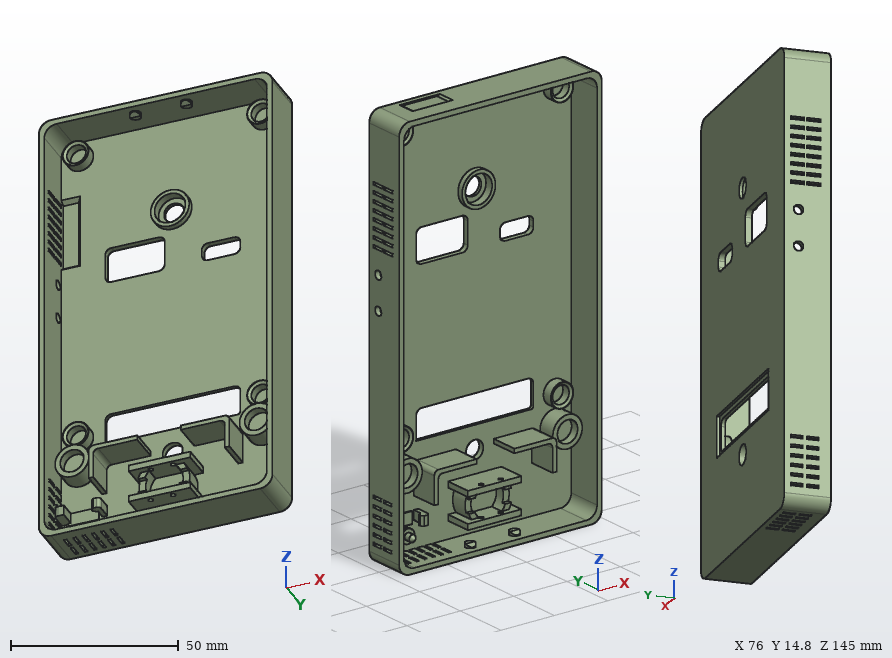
import cadquery as cq

WIDTH = 76.0
DEPTH = 14.8
HEIGHT = 145.0
CORNER_RADIUS = 4.0
WALL = 1.8
PLATE = 2.1
OVERLAP = 0.2

FRONT_Y = -DEPTH / 2
BACK_Y = DEPTH / 2
PLATE_Y = BACK_Y - PLATE
INNER_X = WIDTH / 2 - WALL
INNER_Z = HEIGHT / 2 - WALL

SCREW_X = 30.0
SCREW_ZS = (65.0, -33.0)
SCREW_OD = 8.5
SCREW_MOUTH = 8.2
SCREW_HOLE = 6.2
SCREW_HEIGHT = 3.6
SCREW_MOUTH_DEPTH = 0.6

POST_X = 30.0
POST_Z = -43.8
POST_OD = 11.0
POST_HOLE = 7.6
POST_HEIGHT = 6.3
POST_HOLE_DEPTH = 3.0

MOUNT_HOLE = 6.45
MOUNT_TOP_Z = 39.5
MOUNT_LOW_Z = -44.5
COLLAR_OD = 12.5
COLLAR_BORE = 10.0
COLLAR_HEIGHT = 2.0
COLLAR_BORE_DEPTH = 3.0

WINDOW_LEFT = -21.9
WINDOW_RIGHT = 22.0
WINDOW_RADIUS = 2.0
UPPER_WINDOW_BOTTOM = 19.7
LARGE_WINDOW_RIGHT = -2.6
LARGE_WINDOW_TOP = 31.5
SMALL_WINDOW_LEFT = 9.5
SMALL_WINDOW_TOP = 25.6
LONG_WINDOW_BOTTOM = -36.5
LONG_WINDOW_TOP = -26.4
LONG_WINDOW_LOW_RADIUS = 1.0
LONG_WINDOW_LIP = 1.2
LONG_WINDOW_RELIEF = 1.5

RIB_INNER_X = 7.1
RIB_OUTER_X = 22.9
RIB_TOP_Z = -42.6
RIB_BOTTOM_Z = -53.7
RIB_THICKNESS = 1.5
RIB_HEIGHT = 10.2
RIB_RADIUS = 1.6

HOLDER_Z = -58.5
BAR_LENGTH = 20.0
BAR_THICKNESS = 2.0
BAR_GAP = 8.6
BAR_HEIGHT = 9.8
PIN_HOLE = 1.5
PIN_HOLE_X = 3.65
PIN_HOLE_Y = -2.65
RING_OD = 16.5
RING_ID = 12.2
RING_HEIGHT = 7.6
RING_FLOOR_HEIGHT = 2.7
RING_NOTCH_WIDTH = 4.6
RING_NOTCH_DEPTH = 1.5

CLIP_TOP_Z = -58.3
CLIP_WIDTH = 3.3
CLIP_HEIGHT = 5.8
CLIP_TIP_Y = PLATE_Y - CLIP_HEIGHT
CLIP_POST_LEFT = -36.0
CLIP_POST_RIGHT = -32.9
CLIP_RADIUS = 1.1
HOOK_RIGHT = -21.2
HOOK_STEM = 1.6
HOOK_REACH = 3.0
HOOK_LEAD = 0.9
HOOK_DEPTH = 2.6
HOOK_UNDERCUT = 1.0
PAD_LEFT = -33.8
PAD_RIGHT = -23.8
PAD_BOTTOM_Z = -62.5
PAD_HEIGHT = 0.5

LOCATOR_X = -25.8
LOCATOR_Z = -65.8
FOOT_DIAMETER = 5.0
FOOT_HEIGHT = 1.0
LOCATOR_DIAMETER = 2.5
LOCATOR_HEIGHT = 4.5
LOCATOR_TIP = 1.25

BUMP_DIAMETER = 3.4
BUMP_X = 8.3
BUMP_Y = -3.4
BUMP_HEIGHT = 1.2
BUMP_FRONT_HEIGHT = 0.3

SLOT_THICKNESS = 0.9
SLOT_TOP_Y = 5.3
SLOT_PITCH_Y = 5.1
UPPER_SLOT_LENGTH = 4.25
UPPER_SLOT_TOP_Z = 49.8
UPPER_SLOT_PITCH = 2.88
UPPER_SLOT_ROWS = 8
LOWER_SLOT_LENGTH = 3.7
LOWER_SLOT_PITCH = 3.02
LOWER_SLOT_ROWS = 6
LOWER_SLOT_TOP_Z = -50.5
END_SLOT_FIRST_X = -16.0

SIDE_HOLE = 3.0
SIDE_HOLE_Y = 2.9
SIDE_HOLE_ZS = (21.1, 9.6)

RECESS_RIGHT = -30.0
RECESS_TOP_Z = 52.0
RECESS_BOTTOM_Z = 27.7
RECESS_TAPER = 1.2
RECESS_DEPTH = 1.5

SOCKET_LEFT = -28.2
SOCKET_RIGHT = -13.1
SOCKET_BACK_Y = 5.3
SOCKET_FRONT_Y = -1.1
SOCKET_TAPER = 1.0
SOCKET_DEPTH = 0.5


def box(x0, x1, y0, y1, z0, z1):
    """Box between two opposite corners."""
    return cq.Workplane("XY").box(x1 - x0, y1 - y0, z1 - z0, centered=False).translate((x0, y0, z0))


def rod(x, z, diameter, y_front, y_back):
    """Cylinder along Y."""
    plane = cq.Workplane("XZ", origin=(x, y_back, z))
    return plane.circle(diameter / 2).extrude(y_back - y_front)


def on_plate(x, z, diameter, height):
    """Cylinder that rises from the plate toward -Y."""
    return rod(x, z, diameter, PLATE_Y - height, PLATE_Y + OVERLAP)


def shell():
    outer = box(-WIDTH / 2, WIDTH / 2, FRONT_Y, BACK_Y, -HEIGHT / 2, HEIGHT / 2)
    cavity = box(-INNER_X, INNER_X, FRONT_Y, PLATE_Y, -INNER_Z, INNER_Z)
    return outer.edges("|Y").fillet(CORNER_RADIUS).cut(cavity.edges("|Y").fillet(CORNER_RADIUS))


def window(x0, x1, z0, z1):
    """Square-cornered opening through the back plate."""
    return box(x0, x1, PLATE_Y, BACK_Y, z0, z1)


def plate_windows():
    """Three openings; the long one is relieved from behind so that only a thin lip remains."""
    large = window(WINDOW_LEFT, LARGE_WINDOW_RIGHT, UPPER_WINDOW_BOTTOM, LARGE_WINDOW_TOP)
    small = window(SMALL_WINDOW_LEFT, WINDOW_RIGHT, UPPER_WINDOW_BOTTOM, SMALL_WINDOW_TOP)
    long = window(WINDOW_LEFT, WINDOW_RIGHT, LONG_WINDOW_BOTTOM, LONG_WINDOW_TOP)
    long = long.edges("|Y and >Z").fillet(WINDOW_RADIUS)
    long = long.edges("|Y and <Z and >X").fillet(LONG_WINDOW_LOW_RADIUS)
    relief = box(
        WINDOW_LEFT - LONG_WINDOW_RELIEF,
        WINDOW_RIGHT + LONG_WINDOW_RELIEF,
        PLATE_Y + LONG_WINDOW_LIP,
        BACK_Y,
        LONG_WINDOW_BOTTOM - LONG_WINDOW_RELIEF,
        LONG_WINDOW_TOP + LONG_WINDOW_RELIEF,
    )
    rounded = large.edges("|Y").fillet(WINDOW_RADIUS).union(small.edges("|Y").fillet(WINDOW_RADIUS))
    return rounded.union(long).union(relief)


def screw_boss(x, z):
    mouth_y = PLATE_Y - SCREW_HEIGHT
    hole = rod(x, z, SCREW_HOLE, mouth_y, PLATE_Y)
    mouth = (
        cq.Workplane("XZ", origin=(x, mouth_y, z))
        .circle(SCREW_MOUTH / 2)
        .workplane(offset=-SCREW_MOUTH_DEPTH)
        .circle(SCREW_HOLE / 2)
        .loft()
    )
    return on_plate(x, z, SCREW_OD, SCREW_HEIGHT).cut(hole).cut(mouth)


def post(x):
    front_y = PLATE_Y - POST_HEIGHT
    hole = rod(x, POST_Z, POST_HOLE, front_y, front_y + POST_HOLE_DEPTH)
    return on_plate(x, POST_Z, POST_OD, POST_HEIGHT).cut(hole)


def collar():
    return on_plate(0, MOUNT_TOP_Z, COLLAR_OD, COLLAR_HEIGHT)


def collar_bore():
    """Counterbore that runs through the collar into the plate."""
    front_y = PLATE_Y - COLLAR_HEIGHT
    return rod(0, MOUNT_TOP_Z, COLLAR_BORE, front_y, front_y + COLLAR_BORE_DEPTH)


def l_rib():
    """Rib on the +X side."""
    front_y = PLATE_Y - RIB_HEIGHT
    back_y = PLATE_Y + OVERLAP
    outer = box(RIB_INNER_X, RIB_OUTER_X, front_y, back_y, RIB_BOTTOM_Z, RIB_TOP_Z)
    inner = box(
        RIB_INNER_X,
        RIB_OUTER_X - RIB_THICKNESS,
        front_y,
        back_y,
        RIB_BOTTOM_Z,
        RIB_TOP_Z - RIB_THICKNESS,
    )
    corner = "|Y and >X and >Z"
    return outer.edges(corner).fillet(RIB_RADIUS).cut(inner.edges(corner).fillet(RIB_RADIUS))


def holder():
    half_gap = BAR_GAP / 2
    ring = on_plate(0, HOLDER_Z, RING_OD, RING_HEIGHT)
    ring = ring.cut(on_plate(0, HOLDER_Z, RING_ID, RING_HEIGHT))
    ring = ring.union(on_plate(0, HOLDER_Z, RING_OD, RING_FLOOR_HEIGHT))
    between_bars = box(
        -RING_OD, RING_OD, FRONT_Y, BACK_Y, HOLDER_Z - half_gap - OVERLAP, HOLDER_Z + half_gap + OVERLAP
    )
    ring_front_y = PLATE_Y - RING_HEIGHT
    notch = box(
        -RING_OD,
        RING_OD,
        ring_front_y,
        ring_front_y + RING_NOTCH_DEPTH,
        HOLDER_Z - RING_NOTCH_WIDTH / 2,
        HOLDER_Z + RING_NOTCH_WIDTH / 2,
    )
    body = ring.intersect(between_bars).cut(notch)
    for bar_z in (HOLDER_Z + half_gap, HOLDER_Z - half_gap - BAR_THICKNESS):
        bar = box(
            -BAR_LENGTH / 2,
            BAR_LENGTH / 2,
            PLATE_Y - BAR_HEIGHT,
            PLATE_Y + OVERLAP,
            bar_z,
            bar_z + BAR_THICKNESS,
        )
        pin_holes = (
            cq.Workplane("XY", origin=(0, PIN_HOLE_Y, bar_z))
            .pushPoints([(-PIN_HOLE_X, 0), (PIN_HOLE_X, 0)])
            .circle(PIN_HOLE / 2)
            .extrude(BAR_THICKNESS)
        )
        body = body.union(bar.cut(pin_holes))
    return body


def clip():
    clip_bottom_z = CLIP_TOP_Z - CLIP_WIDTH
    back_y = PLATE_Y + OVERLAP
    pad = box(PAD_LEFT, PAD_RIGHT, PLATE_Y - PAD_HEIGHT, back_y, PAD_BOTTOM_Z, CLIP_TOP_Z)
    support = box(CLIP_POST_LEFT, CLIP_POST_RIGHT, CLIP_TIP_Y, back_y, clip_bottom_z, CLIP_TOP_Z)
    support = support.edges("|Z and <Y and <X").fillet(CLIP_RADIUS)
    stem_x = HOOK_RIGHT - HOOK_STEM
    reach_x = HOOK_RIGHT - HOOK_REACH
    hook = (
        cq.Workplane("XY", origin=(0, 0, clip_bottom_z))
        .moveTo(HOOK_RIGHT, back_y)
        .lineTo(HOOK_RIGHT, CLIP_TIP_Y)
        .lineTo(reach_x + HOOK_LEAD, CLIP_TIP_Y)
        .lineTo(reach_x, CLIP_TIP_Y + HOOK_LEAD)
        .lineTo(reach_x, CLIP_TIP_Y + HOOK_DEPTH - HOOK_UNDERCUT)
        .lineTo(stem_x, CLIP_TIP_Y + HOOK_DEPTH)
        .lineTo(stem_x, back_y)
        .close()
        .extrude(CLIP_WIDTH)
    )
    hook = hook.edges("|Z and >X and <Y").fillet(CLIP_RADIUS)
    return pad.union(support).union(hook)


def locator():
    foot = on_plate(LOCATOR_X, LOCATOR_Z, FOOT_DIAMETER, FOOT_HEIGHT)
    shank_height = LOCATOR_HEIGHT - LOCATOR_TIP
    shank = on_plate(LOCATOR_X, LOCATOR_Z, LOCATOR_DIAMETER, shank_height)
    base = cq.Vector(LOCATOR_X, PLATE_Y - shank_height, LOCATOR_Z)
    tip = cq.Solid.makeCone(LOCATOR_DIAMETER / 2, 0, LOCATOR_TIP, base, cq.Vector(0, -1, 0))
    return foot.union(shank).union(cq.Workplane(tip))


def bump():
    """Round bump on the -Z wall whose front half slopes down toward the rim."""
    base_z = -INNER_Z
    top_z = base_z + BUMP_HEIGHT
    radius = BUMP_DIAMETER / 2
    plane = cq.Workplane("XY", origin=(0, BUMP_Y, base_z - OVERLAP))
    body = plane.circle(radius).extrude(BUMP_HEIGHT + OVERLAP)
    slope = (
        cq.Workplane("YZ", origin=(-radius, 0, 0))
        .moveTo(BUMP_Y, top_z)
        .lineTo(BUMP_Y - radius, top_z)
        .lineTo(BUMP_Y - radius, base_z + BUMP_FRONT_HEIGHT)
        .close()
        .extrude(BUMP_DIAMETER)
    )
    return body.cut(slope)


def bumps():
    """Two bumps on the -Z wall and two mirrored ones on the +Z wall."""
    lower = bump().translate((BUMP_X, 0, 0)).add(bump().translate((-BUMP_X, 0, 0))).combine()
    return lower.add(lower.mirror("XY")).combine()


def side_slots(rows, top_z, pitch, length):
    """Two columns of slots through the -X wall."""
    body = cq.Workplane("XY")
    for row in range(rows):
        z = top_z - row * pitch
        for column in range(2):
            y = SLOT_TOP_Y - column * SLOT_PITCH_Y
            slot = box(-WIDTH / 2, -INNER_X, y - length, y, z - SLOT_THICKNESS / 2, z + SLOT_THICKNESS / 2)
            body = body.add(slot)
    return body.combine()


def end_slots():
    """Two columns of slots through the -Z wall."""
    body = cq.Workplane("XY")
    for row in range(LOWER_SLOT_ROWS):
        x = END_SLOT_FIRST_X - row * LOWER_SLOT_PITCH
        for column in range(2):
            y = SLOT_TOP_Y - column * SLOT_PITCH_Y
            slot = box(
                x - SLOT_THICKNESS / 2,
                x + SLOT_THICKNESS / 2,
                y - LOWER_SLOT_LENGTH,
                y,
                -HEIGHT / 2,
                -INNER_Z,
            )
            body = body.add(slot)
    return body.combine()


def side_holes():
    plane = cq.Workplane("YZ", origin=(-WIDTH / 2, 0, 0))
    centers = [(SIDE_HOLE_Y, z) for z in SIDE_HOLE_ZS]
    return plane.pushPoints(centers).circle(SIDE_HOLE / 2).extrude(WALL)


def plate_recess():
    """Recess whose top, bottom and right flanks slope inward; it runs up to the -X wall."""
    left = -INNER_X
    middle_z = (RECESS_TOP_Z + RECESS_BOTTOM_Z) / 2
    length = RECESS_TOP_Z - RECESS_BOTTOM_Z
    width = RECESS_RIGHT - left
    floor_width = width - RECESS_TAPER
    return (
        cq.Workplane("XZ", origin=(left, PLATE_Y, middle_z))
        .center(width / 2, 0)
        .rect(width, length)
        .workplane(offset=-RECESS_DEPTH)
        .center(-RECESS_TAPER / 2, 0)
        .rect(floor_width, length - 2 * RECESS_TAPER)
        .loft()
    )


def top_socket():
    """Recess in the top wall; its front and side flanks slope inward."""
    middle_x = (SOCKET_LEFT + SOCKET_RIGHT) / 2
    width = SOCKET_RIGHT - SOCKET_LEFT
    depth = SOCKET_BACK_Y - SOCKET_FRONT_Y
    return (
        cq.Workplane("XY", origin=(middle_x, SOCKET_BACK_Y - depth / 2, HEIGHT / 2))
        .rect(width, depth)
        .workplane(offset=-SOCKET_DEPTH)
        .center(0, SOCKET_TAPER / 2)
        .rect(width - 2 * SOCKET_TAPER, depth - SOCKET_TAPER)
        .loft()
    )


result = shell().cut(plate_windows()).cut(plate_recess()).cut(top_socket())
for x_sign in (-1, 1):
    for screw_z in SCREW_ZS:
        result = result.union(screw_boss(x_sign * SCREW_X, screw_z))
    result = result.union(post(x_sign * POST_X))
result = result.union(l_rib()).union(l_rib().mirror("YZ"))
result = result.union(collar()).union(holder()).union(clip()).union(locator()).union(bumps())
result = result.cut(collar_bore())
for mount_z in (MOUNT_TOP_Z, MOUNT_LOW_Z):
    result = result.cut(rod(0, mount_z, MOUNT_HOLE, PLATE_Y - COLLAR_HEIGHT, BACK_Y))
result = result.cut(side_slots(UPPER_SLOT_ROWS, UPPER_SLOT_TOP_Z, UPPER_SLOT_PITCH, UPPER_SLOT_LENGTH))
result = result.cut(side_slots(LOWER_SLOT_ROWS, LOWER_SLOT_TOP_Z, LOWER_SLOT_PITCH, LOWER_SLOT_LENGTH))
result = result.cut(end_slots()).cut(side_holes())